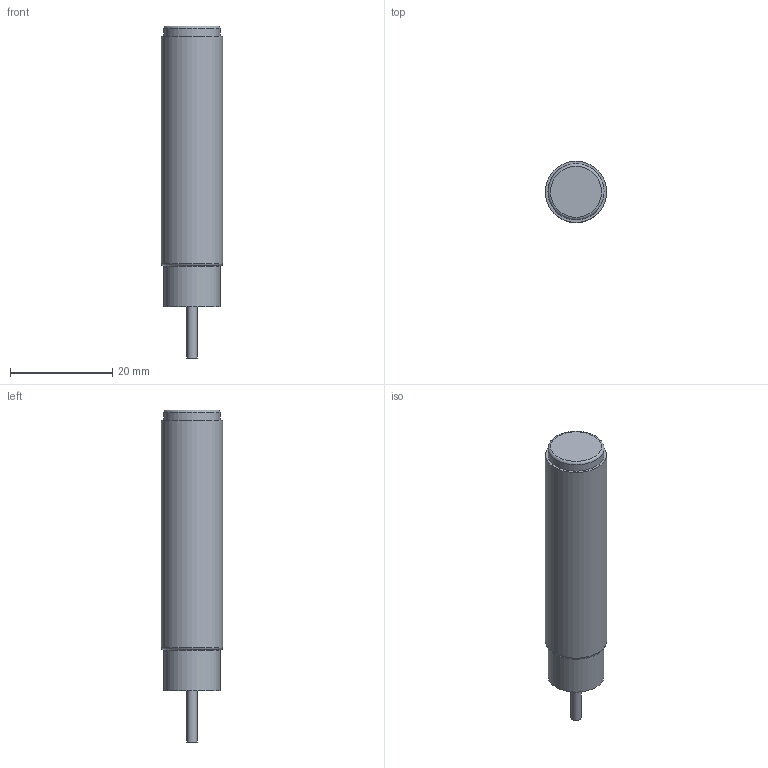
import cadquery as cq

overall_length = 65.0
body_diameter = 12.0
cap_diameter = 11.0
cap_height = 2.0
cap_fillet = 0.5
collar_diameter = 11.0
collar_height = 8.0
body_bottom_fillet = 0.5
lead_diameter = 2.0
lead_length = 10.0

collar_bottom = lead_length
body_bottom = collar_bottom + collar_height
cap_bottom = overall_length - cap_height
body_height = cap_bottom - body_bottom


def cylinder(diameter, bottom, height):
    """Upright cylinder on the Z axis."""
    return cq.Workplane("XY").workplane(offset=bottom).circle(diameter / 2).extrude(height)


def make_body():
    """Main barrel, with its lower edge rounded."""
    return cylinder(body_diameter, body_bottom, body_height).faces("<Z").edges().fillet(body_bottom_fillet)


def make_cap():
    """End cap, with its upper edge rounded."""
    return cylinder(cap_diameter, cap_bottom, cap_height).faces(">Z").edges().fillet(cap_fillet)


lead = cylinder(lead_diameter, 0, lead_length)
collar = cylinder(collar_diameter, collar_bottom, collar_height)

result = lead.union(collar).union(make_body()).union(make_cap())